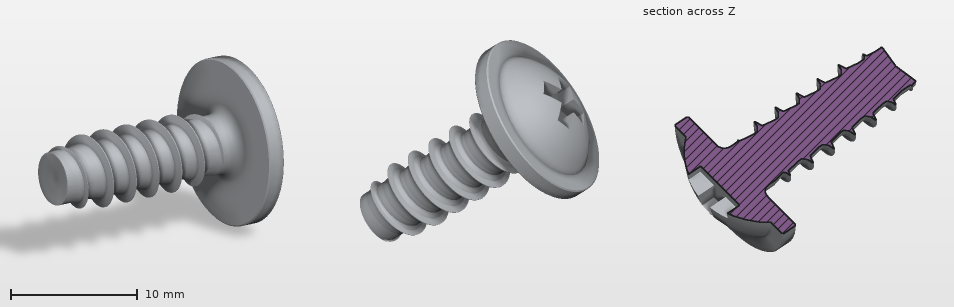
import cadquery as cq
import math


flange_radius = 6.75
flange_thickness = 1.4
flange_edge_chamfer = 0.1
dome_base_radius = 5.3
head_height = 3.88
recess_wing_width = 1.44
recess_span = 4.8
recess_depth = 1.6
cut_clearance = 1.0

shank_length = 16.0
neck_radius = 2.38
neck_length = 1.5
neck_fillet = 0.8
neck_cone_length = 1.1
core_radius = 2.13
tip_recess_radius = 2.0
tip_recess_depth = 0.3

pitch = 2.14
crest_radius = 3.03
crest_half_width = 0.03
first_crest_depth = 1.57
head_flank_foot = 0.43
head_flank_bend = 0.14
bend_radius = 2.5
tip_flank_foot = 0.26
slope_radius = 2.33
slope_end = 1.33
buried_radius = 1.8
foot_overlap = 0.06
slope_overlap = 0.02
start_crest_radius = 2.5
end_crest_radius = 2.25
end_slope_radius = 2.18
end_slope_end = 0.4

start_turn = -0.08
full_height_turn = 1.0
fading_turn = 5.25
end_turn = 6.7
points_per_turn = 16


def revolve_about_axis(profile):
    return profile.close().revolve(360, (0, 0, 0), (0, 1, 0))


def make_head():
    c = flange_edge_chamfer
    half_wing = recess_wing_width / 2
    dome_height = head_height - flange_thickness
    rim_square = dome_base_radius ** 2
    top_square = 2 * half_wing ** 2
    centre_drop = (rim_square - top_square - dome_height ** 2) / (2 * dome_height)
    sphere_radius = math.hypot(dome_base_radius, centre_drop)
    sphere_centre = flange_thickness - centre_drop
    mid_angle = (math.pi / 2 + math.atan2(centre_drop, dome_base_radius)) / 2
    mid_point = (
        sphere_radius * math.cos(mid_angle),
        sphere_centre + sphere_radius * math.sin(mid_angle),
    )
    profile = (
        cq.Workplane("XY")
        .moveTo(0, 0)
        .lineTo(flange_radius - c, 0)
        .lineTo(flange_radius, c)
        .lineTo(flange_radius, flange_thickness - c)
        .lineTo(flange_radius - c, flange_thickness)
        .lineTo(dome_base_radius, flange_thickness)
        .threePointArc(mid_point, (0, sphere_centre + sphere_radius))
    )
    return revolve_about_axis(profile)


def make_cross_recess():
    recess_top = head_height + cut_clearance
    height = recess_depth + cut_clearance
    middle = recess_top - height / 2
    wing = cq.Workplane("XY").box(recess_span, height, recess_wing_width)
    cross = wing.union(wing.rotate((0, 0, 0), (0, 1, 0), 90))
    return cross.translate((0, middle, 0))


def make_shank():
    arc_shift = neck_fillet * (1 - math.sqrt(0.5))
    profile = (
        cq.Workplane("XY")
        .moveTo(0, 0)
        .lineTo(neck_radius + neck_fillet, 0)
        .threePointArc(
            (neck_radius + arc_shift, -arc_shift),
            (neck_radius, -neck_fillet),
        )
        .lineTo(neck_radius, -neck_length)
        .lineTo(core_radius, -neck_length - neck_cone_length)
        .lineTo(core_radius, -shank_length)
        .lineTo(0, -shank_length)
    )
    return revolve_about_axis(profile)


def make_tip_recess():
    profile = (
        cq.Workplane("XY")
        .moveTo(0, -shank_length)
        .lineTo(tip_recess_radius, -shank_length)
        .lineTo(0, -shank_length + tip_recess_depth)
    )
    return revolve_about_axis(profile)


def thread_section(crest, slope_top, slope_reach):
    """Corners (radius, offset along Y from the crest) of the ridge and its slope."""
    scale = (crest - core_radius) / (crest_radius - core_radius)
    slope_run = (slope_reach - tip_flank_foot * scale) / (slope_top - core_radius)
    return [
        (buried_radius, 0),
        (core_radius - foot_overlap, (head_flank_foot + foot_overlap) * scale),
        (core_radius + (bend_radius - core_radius) * scale, head_flank_bend * scale),
        (crest, crest_half_width * scale),
        (crest, -crest_half_width * scale),
        (slope_top, -tip_flank_foot * scale),
        (core_radius - slope_overlap, -slope_reach - slope_overlap * slope_run),
        (buried_radius, -slope_reach),
    ]


def helix_point(radius, offset, turn):
    angle = 2 * math.pi * turn
    y = offset - first_crest_depth - pitch * turn
    return cq.Vector(radius * math.cos(angle), y, radius * math.sin(angle))


def helix_edge(start, end, first_turn, last_turn):
    """Helix whose radius and offset change steadily from start to end."""
    steps = math.ceil((last_turn - first_turn) * points_per_turn)
    points = []
    for i in range(steps + 1):
        part = i / steps
        radius = start[0] + (end[0] - start[0]) * part
        offset = start[1] + (end[1] - start[1]) * part
        points.append(helix_point(radius, offset, first_turn + (last_turn - first_turn) * part))
    return cq.Edge.makeSpline(points)


def section_face(section, turn):
    points = [helix_point(radius, offset, turn) for radius, offset in section]
    return cq.Face.makeFromWires(cq.Wire.makePolygon(points, close=True))


def make_thread():
    stations = [
        (start_turn, thread_section(start_crest_radius, slope_radius, slope_end)),
        (full_height_turn, thread_section(crest_radius, slope_radius, slope_end)),
        (fading_turn, thread_section(crest_radius, slope_radius, slope_end)),
        (end_turn, thread_section(end_crest_radius, end_slope_radius, end_slope_end)),
    ]
    faces = [section_face(section, turn) for turn, section in (stations[0], stations[-1])]
    for (turn_a, section_a), (turn_b, section_b) in zip(stations, stations[1:]):
        edges = [helix_edge(a, b, turn_a, turn_b) for a, b in zip(section_a, section_b)]
        for edge, neighbour in zip(edges, edges[1:] + edges[:1]):
            faces.append(cq.Face.makeRuledSurface(edge, neighbour))
    ridge = cq.Workplane(cq.Solid.makeSolid(cq.Shell.makeShell(faces)))
    limit = cq.Workplane("XZ").circle(flange_radius).extrude(shank_length)
    return ridge.intersect(limit)


head = make_head().cut(make_cross_recess())
shank = make_shank().union(make_thread()).cut(make_tip_recess())
result = head.union(shank)